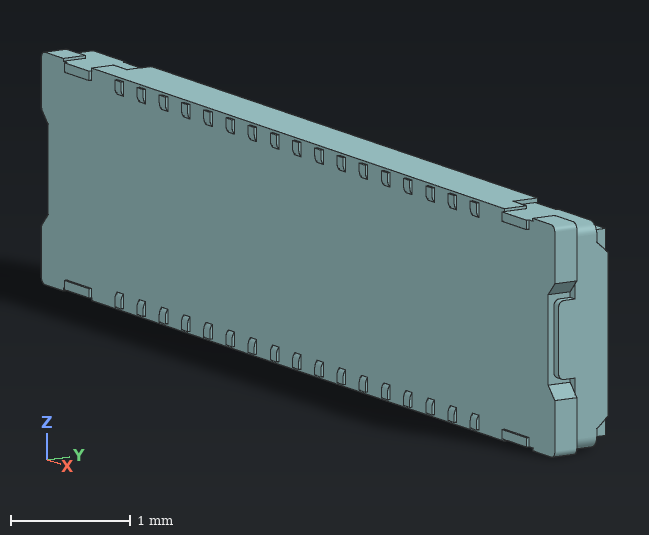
import cadquery as cq
import math


LENGTH = 8.1
DEPTH = 0.6
HEIGHT = 2.0
OVERLAP = 0.04

FRONT_Y = -DEPTH / 2
BACK_Y = DEPTH / 2
FOOT_STANDOFF = 0.025
HOUSING_FRONT_Y = FRONT_Y + FOOT_STANDOFF
FLANGE_BACK_Y = FRONT_Y + 0.24
ARM_BACK_Y = FRONT_Y + 0.44
FITTING_BACK_Y = FRONT_Y + 0.46
BODY_BACK_Y = FRONT_Y + 0.49
RIB_BACK_Y = BACK_Y - 0.025

BODY_Z = HEIGHT / 2
FITTING_Z = BODY_Z - 0.025
CORE_Z = 0.89

FLANGE_X = LENGTH / 2
FITTING_X = FLANGE_X - 0.03
BLOCK_OUTER_X = 3.94
BLOCK_INNER_X = 3.34
FLANGE_INNER_X = 3.7
FOOT_OUTER_X = 3.645
FITTING_STEP_X = 3.41
BODY_X = 3.26
ARM_INNER_X = 3.095
RECESS_X = 3.045

FLANGE_CORNER_RADIUS = 0.06
FITTING_CORNER_RADIUS = 0.105
FITTING_FOOT_HEIGHT = 0.08
NOTCH_DEPTH = 0.105
NOTCH_MOUTH_Z = 0.5
NOTCH_FLOOR_Z = 0.39
TONGUE_Z = 0.34
TONGUE_FRONT_Y = FRONT_Y + 0.08
TONGUE_CORNER_RADIUS = 0.06
RIB_BACK_Z = 0.705
RIB_BASE_Z = 0.8

CONTACT_COUNT = 17
CONTACT_SPAN = 5.605
CONTACT_PITCH = CONTACT_SPAN / (CONTACT_COUNT - 1)
CONTACT_WIDTH = 0.1
CONTACT_FLAT_Z = 0.915
CONTACT_INNER_Z = 0.85


def block(x_outer, x_inner, y_front, y_back, half_height):
    """Box at the -X end, centred on Z = 0, between two distances from the centre."""
    size = (x_outer - x_inner, y_back - y_front, 2 * half_height)
    return cq.Workplane("XY").box(*size, centered=False).translate((-x_outer, y_front, -half_height))


def make_body():
    """Plain middle of the housing with a recess for each fitting arm."""
    body = block(BODY_X, -BODY_X, HOUSING_FRONT_Y, BODY_BACK_Y, BODY_Z)
    recess = block(BODY_X, RECESS_X, FLANGE_BACK_Y, BODY_BACK_Y, BODY_Z)
    recess = recess.cut(block(BODY_X, RECESS_X, FLANGE_BACK_Y, BODY_BACK_Y, CORE_Z))
    return body.cut(recess).cut(recess.mirror("YZ"))


def make_flange():
    """Front layer of the end, with rounded corners and a flared notch in its end."""
    flange = block(FLANGE_X, FLANGE_INNER_X, HOUSING_FRONT_Y, FLANGE_BACK_Y, BODY_Z)
    flange = flange.edges("|Y and <X").fillet(FLANGE_CORNER_RADIUS)
    notch = (
        cq.Workplane("XZ", origin=(0, FLANGE_BACK_Y, 0))
        .moveTo(-FLANGE_X, -NOTCH_MOUTH_Z)
        .lineTo(-FLANGE_X + NOTCH_DEPTH, -NOTCH_FLOOR_Z)
        .lineTo(-FLANGE_X + NOTCH_DEPTH, NOTCH_FLOOR_Z)
        .lineTo(-FLANGE_X, NOTCH_MOUTH_Z)
        .close()
        .extrude(FLANGE_BACK_Y - HOUSING_FRONT_Y)
    )
    return flange.cut(notch)


def make_fitting():
    """Fitting wrapped around the end, with side arms, legs, feet and an end tongue."""
    wrap = block(FITTING_X, FITTING_STEP_X, FLANGE_BACK_Y, FITTING_BACK_Y, FITTING_Z)
    wrap = wrap.edges("|Y and <X").fillet(FITTING_CORNER_RADIUS)
    arms = block(FITTING_STEP_X, ARM_INNER_X, FLANGE_BACK_Y, ARM_BACK_Y, FITTING_Z)
    legs = block(FLANGE_INNER_X, BODY_X, HOUSING_FRONT_Y, FLANGE_BACK_Y, FITTING_Z)
    feet = block(FOOT_OUTER_X, BODY_X, FRONT_Y, HOUSING_FRONT_Y, FITTING_Z)
    feet = feet.cut(
        block(FOOT_OUTER_X, BODY_X, FRONT_Y, HOUSING_FRONT_Y, FITTING_Z - FITTING_FOOT_HEIGHT)
    )
    tongue_inner_x = FLANGE_X - NOTCH_DEPTH - OVERLAP
    tongue = block(FITTING_X, tongue_inner_x, TONGUE_FRONT_Y, FLANGE_BACK_Y + OVERLAP, TONGUE_Z)
    tongue = tongue.edges("|X and <Y").fillet(TONGUE_CORNER_RADIUS)
    return wrap.union(arms).union(legs).union(feet).union(tongue)


def make_end_block():
    """Raised housing block behind the fitting, with a bevelled rib on its end face."""
    raised = block(BLOCK_OUTER_X, BLOCK_INNER_X, ARM_BACK_Y - OVERLAP, BACK_Y, CORE_Z)
    rib = (
        cq.Workplane("YZ", origin=(-FITTING_X, 0, 0))
        .moveTo(FITTING_BACK_Y - OVERLAP, -RIB_BASE_Z)
        .lineTo(FITTING_BACK_Y, -RIB_BASE_Z)
        .lineTo(RIB_BACK_Y, -RIB_BACK_Z)
        .lineTo(RIB_BACK_Y, RIB_BACK_Z)
        .lineTo(FITTING_BACK_Y, RIB_BASE_Z)
        .lineTo(FITTING_BACK_Y - OVERLAP, RIB_BASE_Z)
        .close()
        .extrude(FITTING_X - BLOCK_OUTER_X + OVERLAP)
    )
    return raised.union(rib)


def make_contact_row():
    """Row of contact feet along the top edge, each rounded toward the part's middle."""
    rise = CONTACT_FLAT_Z - CONTACT_INNER_Z
    radius = (rise**2 + FOOT_STANDOFF**2) / (2 * FOOT_STANDOFF)
    half_angle = math.asin(rise / radius) / 2
    arc_middle = (
        FRONT_Y + radius * (1 - math.cos(half_angle)),
        CONTACT_FLAT_Z - radius * math.sin(half_angle),
    )
    foot = (
        cq.Workplane("YZ", origin=(-CONTACT_WIDTH / 2, 0, 0))
        .moveTo(HOUSING_FRONT_Y, FITTING_Z)
        .lineTo(FRONT_Y, FITTING_Z)
        .lineTo(FRONT_Y, CONTACT_FLAT_Z)
        .threePointArc(arc_middle, (HOUSING_FRONT_Y, CONTACT_INNER_Z))
        .close()
        .extrude(CONTACT_WIDTH)
    )
    row = cq.Workplane("XY")
    for index in range(CONTACT_COUNT):
        x = (index - (CONTACT_COUNT - 1) / 2) * CONTACT_PITCH
        row = row.add(foot.translate((x, 0, 0)))
    return row.combine()


end = make_flange().union(make_fitting()).union(make_end_block())
contacts = make_contact_row()

result = make_body().union(end).union(end.mirror("YZ"))
result = result.union(contacts).union(contacts.mirror("XY"))